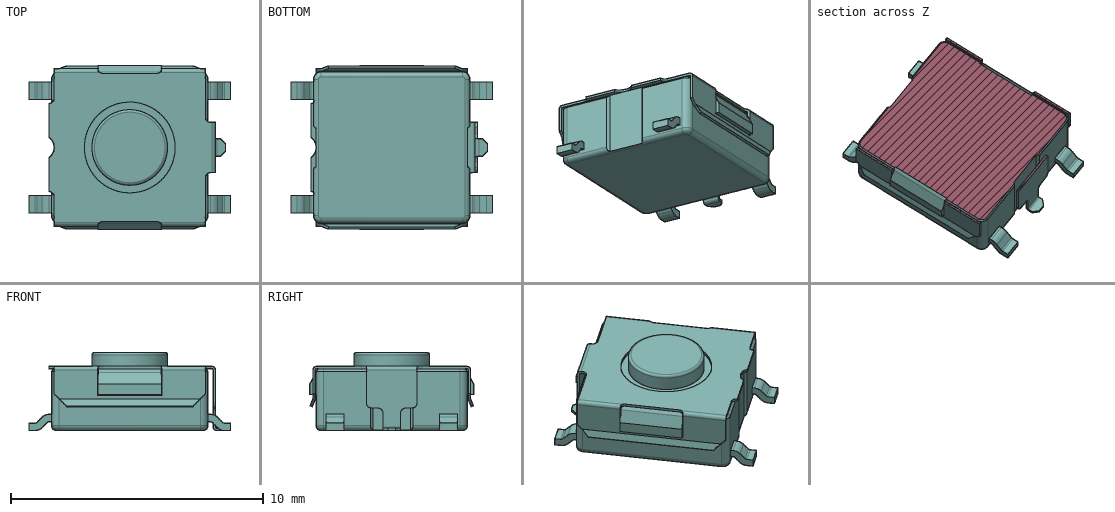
import cadquery as cq
import math


body_length = 6.2
body_width = 6.0
body_height = 2.45
body_corner_radius = 0.3
body_bottom_radius = 0.2
body_top_chamfer = 0.1
recess_half_width = 0.75
recess_depth = 0.1

latch_length = 2.5
latch_reach = 3.25
latch_bottom = 1.43
latch_ramp_start = 1.85
latch_bevel = 0.15
latch_clearance = 0.02

sheet = 0.1
bend_inner_radius = 0.05
bend_outer_radius = bend_inner_radius + sheet
cover_half_length = 3.0
cover_top = body_height + sheet
opening_radius = 1.8
panel_outer = 3.125
panel_bend_end = cover_top - bend_outer_radius
flare_start = 1.26
flare_length = 0.3
flare_angle = math.radians(22)
panel_corner_chamfer = 0.5
panel_corner_bottom = 0.96
window_bottom = 1.4
window_inner_edge = 2.935
window_corner_radius = 0.2

tab_root_radius = 0.2
left_tab_half_width = 1.75
notch_radius = 0.5
notch_centre_x = -3.5
ground_tab_half_width = 1.0
ground_tab_outer = 3.4
ground_pin_half_width = 0.35
ground_step_height = 0.89
ground_step_radius = 0.2
ground_foot_end = 3.8
ground_foot_chamfer = 0.2

button_radius = 1.5
button_top = 3.1
button_edge_radius = 0.1

lead_tip = 4.0
lead_spacing = 4.5
lead_width = 0.7
lead_thickness = 0.3
lead_rise = 0.35
lead_foot_length = 0.25
lead_inner_radius = 0.1
lead_embed = 0.3


def box(x_range, y_range, z_range):
    """Box between the given pairs of limits."""
    size = [high - low for low, high in (x_range, y_range, z_range)]
    corner = (x_range[0], y_range[0], z_range[0])
    return cq.Workplane("XY").box(*size, centered=False).translate(corner)


def extrude_centred(outline, length):
    """Extrude an outline equally to both sides of its plane."""
    return outline.extrude(length / 2, both=True)


def both_sides(shape, plane):
    """Join a shape with its mirror image."""
    return shape.union(shape.mirror(plane))


def make_recess():
    """Full-height recess with 45 degree flanks in the +X end."""
    floor = body_length / 2 - recess_depth
    mouth_half_width = recess_half_width + recess_depth
    return (
        cq.Workplane("XY")
        .polyline([
            (floor, -recess_half_width),
            (body_length / 2, -mouth_half_width),
            (body_length / 2, mouth_half_width),
            (floor, recess_half_width),
        ])
        .close()
        .extrude(body_height)
    )


def make_latch_bevel():
    """Wedge that deepens the top chamfer of the +Y side above the latch."""
    face = body_width / 2
    outline = cq.Workplane("YZ").polyline([
        (face - latch_bevel, body_height),
        (face, body_height - latch_bevel),
        (face, body_height),
    ]).close()
    return extrude_centred(outline, latch_length)


def make_body():
    body = cq.Workplane("XY").rect(body_length, body_width).extrude(body_height)
    body = body.edges("|Z").fillet(body_corner_radius)
    body = body.faces("<Z").edges().fillet(body_bottom_radius)
    body = body.faces(">Z").edges().chamfer(body_top_chamfer)
    body = body.cut(both_sides(make_latch_bevel(), "XZ"))
    return body.cut(both_sides(make_recess(), "YZ"))


def make_latches():
    """Ramped latch on each long side, running into the body."""
    face = body_width / 2
    root = face - latch_bevel
    ramp_top = body_height - latch_bevel
    outline = cq.Workplane("YZ").polyline([
        (root, latch_bottom),
        (latch_reach, latch_bottom),
        (latch_reach, latch_ramp_start),
        (face, ramp_top),
        (root, ramp_top),
    ]).close()
    return both_sides(extrude_centred(outline, latch_length), "XZ")


def make_side_panel():
    """Panel bent down on the +Y side, flared out along its lower edge."""
    inner = panel_outer - sheet
    bend_start = panel_outer - bend_outer_radius
    drop = flare_length * math.cos(flare_angle)
    spread = flare_length * math.sin(flare_angle)
    lip = (panel_outer + spread, flare_start - drop)
    lip_inner = (lip[0] - sheet * math.cos(flare_angle), lip[1] - sheet * math.sin(flare_angle))
    inner_flare_start = flare_start - sheet * math.tan(flare_angle / 2)
    outline = (
        cq.Workplane("YZ")
        .moveTo(bend_start, cover_top)
        .radiusArc((panel_outer, panel_bend_end), bend_outer_radius)
        .lineTo(panel_outer, flare_start)
        .lineTo(*lip)
        .lineTo(*lip_inner)
        .lineTo(inner, inner_flare_start)
        .lineTo(inner, panel_bend_end)
        .radiusArc((bend_start, body_height), -bend_inner_radius)
        .close()
    )
    panel = extrude_centred(outline, 2 * cover_half_length)

    lower_half_length = cover_half_length - panel_corner_chamfer
    chamfer_top = panel_corner_bottom + panel_corner_chamfer
    flare_bottom = lip_inner[1]
    front_outline = cq.Workplane("XZ").polyline([
        (-cover_half_length, cover_top),
        (-cover_half_length, chamfer_top),
        (-lower_half_length, panel_corner_bottom),
        (-lower_half_length, flare_bottom),
        (lower_half_length, flare_bottom),
        (lower_half_length, panel_corner_bottom),
        (cover_half_length, chamfer_top),
        (cover_half_length, cover_top),
    ]).close()
    return panel.intersect(extrude_centred(front_outline, 2 * lip[0]))


def make_window():
    """Opening for the +Y latch, running through the bend into the top plate."""
    half_length = latch_length / 2 + latch_clearance
    window = box(
        (-half_length, half_length),
        (window_inner_edge, latch_reach),
        (window_bottom, cover_top),
    )
    return window.edges("|Z and <Y").fillet(window_corner_radius)


def make_tab_root(half_width):
    """Plate extension on the +X edge with concave fillets at both sides."""
    reach = cover_half_length + tab_root_radius
    outer_half_width = half_width + tab_root_radius
    root = box(
        (cover_half_length, reach),
        (-outer_half_width, outer_half_width),
        (body_height, cover_top),
    )
    fillets = (
        cq.Workplane("XY")
        .workplane(offset=body_height)
        .pushPoints([(reach, -outer_half_width), (reach, outer_half_width)])
        .circle(tab_root_radius)
        .extrude(sheet)
    )
    return root.cut(fillets)


def make_ground_tab():
    """Tab bent down at the +X end, narrowing to a pin with an outward foot."""
    inner = ground_tab_outer - sheet
    upper_bend_start = ground_tab_outer - bend_outer_radius
    foot_bend_end = inner + bend_outer_radius
    profile = (
        cq.Workplane("XZ")
        .moveTo(cover_half_length, cover_top)
        .lineTo(upper_bend_start, cover_top)
        .radiusArc((ground_tab_outer, panel_bend_end), bend_outer_radius)
        .lineTo(ground_tab_outer, bend_outer_radius)
        .radiusArc((foot_bend_end, sheet), -bend_inner_radius)
        .lineTo(ground_foot_end, sheet)
        .lineTo(ground_foot_end, 0)
        .lineTo(foot_bend_end, 0)
        .radiusArc((inner, bend_outer_radius), bend_outer_radius)
        .lineTo(inner, panel_bend_end)
        .radiusArc((upper_bend_start, body_height), -bend_inner_radius)
        .lineTo(cover_half_length, body_height)
        .close()
    )
    strip = extrude_centred(profile, 2 * ground_tab_half_width)

    x_range = (cover_half_length, ground_foot_end)
    wide = box(
        x_range,
        (-ground_tab_half_width, ground_tab_half_width),
        (ground_step_height, cover_top),
    )
    pin = box(
        x_range,
        (-ground_pin_half_width, ground_pin_half_width),
        (0, ground_step_height),
    )
    pin = pin.edges("|Z and >X").chamfer(ground_foot_chamfer)
    outline = wide.edges("|X and <Z").fillet(ground_step_radius).union(pin)
    step_corners = cq.selectors.BoxSelector(
        (cover_half_length, -ground_pin_half_width - sheet, ground_step_height - sheet),
        (ground_foot_end, ground_pin_half_width + sheet, ground_step_height + sheet),
    )
    outline = outline.edges("|X").edges(step_corners).fillet(ground_step_radius)
    return strip.intersect(outline)


def make_cover():
    plate_half_width = panel_outer - bend_outer_radius
    cover = box(
        (-cover_half_length, cover_half_length),
        (-plate_half_width, plate_half_width),
        (body_height, cover_top),
    )
    left_tab = make_tab_root(left_tab_half_width).mirror("YZ")
    cover = cover.union(left_tab)
    cover = cover.union(make_tab_root(ground_tab_half_width))
    cover = cover.union(make_ground_tab())
    cover = cover.union(both_sides(make_side_panel(), "XZ"))
    cover = cover.cut(both_sides(make_window(), "XZ"))
    notch = cq.Workplane("XY").center(notch_centre_x, 0).circle(notch_radius).extrude(cover_top)
    opening = cq.Workplane("XY").circle(opening_radius).extrude(cover_top)
    return cover.cut(notch).cut(opening)


def make_button():
    button = cq.Workplane("XY").workplane(offset=body_height)
    button = button.circle(button_radius).extrude(button_top - body_height)
    return button.faces(">Z").edges().fillet(button_edge_radius)


def make_lead():
    """Lead at the +X end: level root, 45 degree slope and level foot."""
    inner_radius = lead_inner_radius
    outer_radius = inner_radius + lead_thickness
    diagonal = math.sqrt(0.5)
    root_top = lead_rise + lead_thickness
    radii = inner_radius + outer_radius

    slope_drop = lead_rise - radii * (1 - diagonal)
    foot_start = lead_tip - lead_foot_length
    root_end = foot_start - slope_drop - radii * diagonal
    upper_centre_z = root_top - outer_radius
    lower_centre_z = outer_radius
    embed_x = body_length / 2 - lead_embed

    def upper_bend(radius):
        return (root_end + radius * diagonal, upper_centre_z + radius * diagonal)

    def lower_bend(radius):
        return (foot_start - radius * diagonal, lower_centre_z - radius * diagonal)

    outline = (
        cq.Workplane("XZ")
        .moveTo(embed_x, root_top)
        .lineTo(root_end, root_top)
        .radiusArc(upper_bend(outer_radius), outer_radius)
        .lineTo(*lower_bend(inner_radius))
        .radiusArc((foot_start, lead_thickness), -inner_radius)
        .lineTo(lead_tip, lead_thickness)
        .lineTo(lead_tip, 0)
        .lineTo(foot_start, 0)
        .radiusArc(lower_bend(outer_radius), outer_radius)
        .lineTo(*upper_bend(inner_radius))
        .radiusArc((root_end, lead_rise), -inner_radius)
        .lineTo(embed_x, lead_rise)
        .close()
    )
    return extrude_centred(outline, lead_width)


def make_leads():
    lead = make_lead().translate((0, lead_spacing / 2, 0))
    return both_sides(both_sides(lead, "XZ"), "YZ")


result = (
    make_body()
    .union(make_latches())
    .union(make_cover())
    .union(make_button())
    .union(make_leads())
)